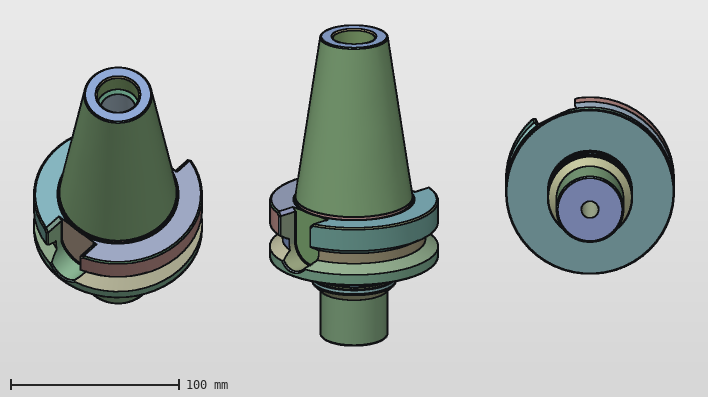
import cadquery as cq
import math

total_height = 188.8
flange_bottom = 49.5
flange_top = 85.7
gauge_height = 87.5

gauge_radius = 69.9 / 2
taper_top_radius = 20.2
taper_top_chamfer = 0.8

undercut_radius = 69.3 / 2
undercut_slope = 0.4

flange_radius = 100.0 / 2
flange_edge_chamfer = 1.0
flange_bottom_chamfer = 0.5
groove_radius = 42.5
groove_wall_angle = 30
groove_slope = (flange_radius - groove_radius) * math.tan(math.radians(groove_wall_angle))
groove_floor_bottom = 60.6
groove_floor_top = 67.0
face_recess_radius = 36.0
face_recess_floor_radius = 35.5
face_recess_depth = 0.4

collar_radius = 50.5 / 2
collar_relief_radius = 50.0 / 2
collar_groove_radius = 24.7

ring_top = 48.3
ring_bottom = 46.5

collar_top = 44.7
collar_bottom = 35.1
cone_top = 34.0
collar_chamfer = collar_radius - collar_groove_radius
collar_groove_top = 39.5
collar_groove_bottom = 37.8

nose_radius = 40.0 / 2
nose_chamfer = 1.0

bore_radius = 25.0 / 2
bore_mouth_chamfer = 1.0
bore_depth = 12.5
thread_radius = 20.8 / 2
thread_depth = 56.6
through_radius = 10.2 / 2
drill_point_angle = 30
drill_point_slope = (thread_radius - through_radius) * math.tan(math.radians(drill_point_angle))

slot_width = 25.7
slot_half_width = slot_width / 2
slot_floor = 35.5
slot_floor_chamfer = 0.5
slot_end_radius = 13.0
slot_bottom = 52.9
slot_mouth_chamfer = 2.3
slot_cut_length = flange_radius

tolerance = 0.02


def revolve_profile(points):
    """Turn a closed (radius, height) outline about Z."""
    return cq.Workplane("XZ").polyline(points).close().revolve(360, (0, 0, 0), (0, 1, 0))


def make_nose_and_collar():
    """Chamfered nose, cone, grooved collar and ring, up to the flange."""
    return revolve_profile([
        (0, 0),
        (nose_radius - nose_chamfer, 0),
        (nose_radius, nose_chamfer),
        (nose_radius, cone_top - (collar_groove_radius - nose_radius)),
        (collar_groove_radius, cone_top),
        (collar_radius, collar_bottom),
        (collar_radius, collar_groove_bottom - collar_chamfer),
        (collar_groove_radius, collar_groove_bottom),
        (collar_groove_radius, collar_groove_top - collar_chamfer),
        (collar_radius, collar_groove_top),
        (collar_radius, collar_top),
        (collar_groove_radius, collar_top + collar_chamfer),
        (collar_radius, ring_bottom),
        (collar_radius, ring_top),
        (collar_relief_radius, ring_top),
        (collar_radius, flange_bottom),
        (0, flange_bottom),
    ])


def make_flange():
    """Plain flange with its V groove and the shallow recess around the neck."""
    return revolve_profile([
        (0, flange_bottom),
        (flange_radius - flange_bottom_chamfer, flange_bottom),
        (flange_radius, flange_bottom + flange_bottom_chamfer),
        (flange_radius, groove_floor_bottom - groove_slope),
        (groove_radius, groove_floor_bottom),
        (groove_radius, groove_floor_top),
        (flange_radius, groove_floor_top + groove_slope),
        (flange_radius, flange_top),
        (face_recess_radius, flange_top),
        (face_recess_floor_radius, flange_top - face_recess_depth),
        (0, flange_top - face_recess_depth),
    ])


def make_taper():
    """Neck and taper shank, rooted in the flange."""
    return revolve_profile([
        (0, flange_bottom),
        (undercut_radius, flange_bottom),
        (undercut_radius, gauge_height - undercut_slope),
        (gauge_radius, gauge_height),
        (taper_top_radius, total_height - taper_top_chamfer),
        (taper_top_radius - taper_top_chamfer, total_height),
        (0, total_height),
    ])


def make_bore():
    """Cutter for the counterbore, thread core and through hole."""
    step_bottom = total_height - bore_depth - (bore_radius - thread_radius)
    return revolve_profile([
        (0, 0),
        (through_radius, 0),
        (through_radius, total_height - thread_depth - drill_point_slope),
        (thread_radius, total_height - thread_depth),
        (thread_radius, step_bottom),
        (bore_radius, total_height - bore_depth),
        (bore_radius, total_height - bore_mouth_chamfer),
        (bore_radius + bore_mouth_chamfer, total_height),
        (0, total_height),
    ])


def draw_slot(plane, inset):
    """Add the slot outline, shrunk by an inset, to a plane facing -Y."""
    half_width = slot_half_width - inset
    end_radius = slot_end_radius - inset
    end_center = slot_bottom + slot_end_radius
    wall_foot = end_center - math.sqrt(end_radius**2 - half_width**2)
    return (
        plane
        .moveTo(half_width, flange_top)
        .lineTo(half_width, wall_foot)
        .threePointArc((0, end_center - end_radius), (-half_width, wall_foot))
        .lineTo(-half_width, flange_top)
        .close()
    )


def make_slot_cutter():
    """Slot on the -Y side with a bevel around its floor and a flared mouth."""
    floor_plane = cq.Workplane("XZ", origin=(0, -slot_floor, 0))
    floor_outline = draw_slot(floor_plane, slot_floor_chamfer)
    floor_bevel = draw_slot(floor_outline.workplane(offset=slot_floor_chamfer), 0).loft(ruled=True)
    slot = draw_slot(floor_plane.workplane(offset=slot_floor_chamfer), 0).extrude(slot_cut_length)
    mouth = (
        floor_plane
        .moveTo(slot_half_width + slot_mouth_chamfer, flange_top)
        .lineTo(slot_half_width, flange_top - slot_mouth_chamfer)
        .lineTo(-slot_half_width, flange_top - slot_mouth_chamfer)
        .lineTo(-slot_half_width - slot_mouth_chamfer, flange_top)
        .close()
        .extrude(slot_cut_length)
    )
    return slot.union(floor_bevel).union(mouth)


def is_slot_or_rim_edge(edge):
    """True for slot edges on the outside cylinder and for the flange's top rim."""
    samples = edge.positions((0, 0.25, 0.5, 0.75, 1))
    on_outside = all(abs(math.hypot(p.x, p.y) - flange_radius) < tolerance for p in samples)
    heights = [p.z for p in samples]
    is_level = max(heights) - min(heights) < tolerance
    if is_level:
        return on_outside and abs(heights[0] - flange_top) < tolerance
    return on_outside and abs(edge.Center().x) < slot_half_width + slot_mouth_chamfer


def make_slotted_flange():
    """Flange with both drive slots cut and its outer edges broken."""
    flange = make_flange()
    cutter = make_slot_cutter()
    for angle in (0, 180):
        flange = flange.cut(cutter.rotate((0, 0, 0), (0, 0, 1), angle))
    sharp_edges = [edge for edge in flange.edges().vals() if is_slot_or_rim_edge(edge)]
    return flange.newObject(sharp_edges).chamfer(flange_edge_chamfer)


result = make_nose_and_collar().union(make_slotted_flange()).union(make_taper()).cut(make_bore())